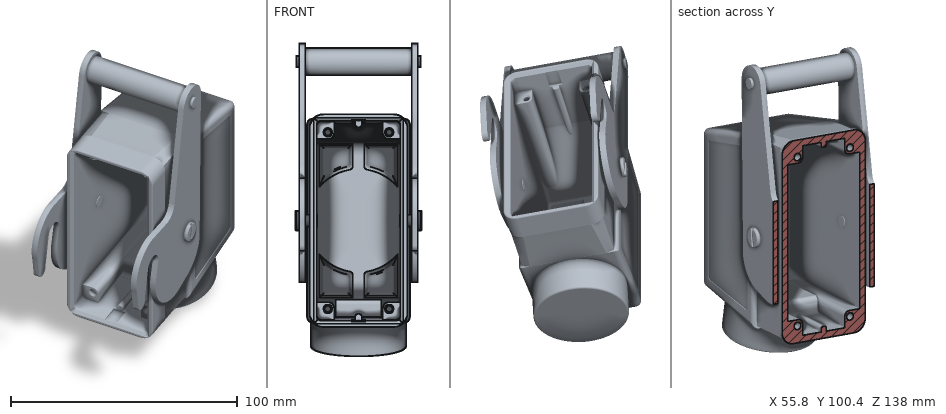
import cadquery as cq
import math


front_y = -24.7
flange_back_y = -12.8
bend_y = 7.7
back_y = 51.2
flange_half_width = 21.5
flange_half_height = 46.9
neck_half_width = 20.8
neck_half_height = 46.8
neck_side_half_height = 43.7
neck_roof_front_half_width = 15.5
neck_roof_back_half_width = 17.4
bend_half_height = 44.8
back_half_height = 36.2
rear_half_width = 22.8
rear_front_y = 7.3
flange_corner = 6.1
rear_edge_radius = 2.5
rim_edge_radius = 0.7

panel_front_y = 12.4
panel_back_y = 45.8
panel_front_half_height = 38.0
panel_back_half_height = 32.0
panel_depth = 0.4
panel_corner = 1.4

collar_radius = 21.1
collar_tilt = 11.7
collar_end_y = 31.5
collar_end_z = -55.8
collar_length = 20.7
collar_edge_radius = 0.8

cavity_half_width = 18.5
cavity_half_height = 44.2
cavity_bend_half_height = 42.4
cavity_back_half_height = 34.2
cavity_back_y = 45.5
cavity_corner = 2.1
mouth_chamfer = 1.2
cavity_back_radius = 1.2

pocket_depth = 3.0
pocket_taper = 30
pocket_floor_radius = 0.8
pocket_inner_x = 2.5
pocket_outer_x = 17.2
pocket_outer_z = 34.0
pad_radius = 22.8
pad_neck_radius = 2.1

post_front_y = -15.2
post_inner_x = 10.8
post_inner_z = 36.0
post_corner = 2.5
screw_x = 13.5
screw_z = 38.9
screw_radius = 1.4
screw_mouth_radius = 2.0
screw_depth = 11.0
rib_half_width = 1.5
rib_top_radius = 1.4
rib_inner_z = 41.1
mark_half_width = 2.9
mark_depth = 0.4
step_front_y = 6.9
step_top_z = -34.8
step_half_width = 10.0
step_edge_radius = 2.2
step_foot_radius = 2.1

arm_inner_x = 23.5
arm_outer_x = 26.2
handle_y = 3.7
handle_z = 70.1
handle_radius = 6.1
arm_end_radius = 8.0
rivet_radius = 2.5
rivet_end_x = 27.5
pivot_radius = 2.6
pivot_inner_x = 18.2
head_radius = 4.4
head_end_x = 27.9
head_chamfer = 0.4
slot_width = 1.7
slot_depth = 0.8
slot_angle = -5

pick_margin = 1.4


def side_plate(points, half_width):
    """Solid with the given (Y, Z) outline, from -half_width to +half_width in X."""
    return cq.Workplane("YZ").polyline(points).close().extrude(half_width, both=True)


def mirrored_outline(stations):
    """Closed (Y, Z) outline from (Y, half height) stations, symmetric about Z = 0."""
    upper = list(stations)
    lower = [(y, -z) for y, z in reversed(upper)]
    return upper + lower


def y_block(half_width, half_height, start_y, end_y):
    length = end_y - start_y
    return cq.Workplane("XY").box(2 * half_width, length, 2 * half_height).translate(
        (0, (start_y + end_y) / 2, 0)
    )


def both_sides(solid):
    return solid.union(solid.mirror("YZ"))


def make_flange():
    flange = y_block(flange_half_width, flange_half_height, front_y, flange_back_y)
    flange = flange.edges("|Y").fillet(flange_corner)
    return flange.faces("<Y").edges().fillet(rim_edge_radius)


def neck_section(roof_half_width, roof_half_height):
    """Closed (X, Z) octagon: a rectangle with a sloped facet at each corner."""
    upper = [
        (neck_half_width, neck_side_half_height),
        (roof_half_width, roof_half_height),
        (-roof_half_width, roof_half_height),
        (-neck_half_width, neck_side_half_height),
    ]
    return upper + [(-x, -z) for x, z in upper]


def make_neck():
    return (
        cq.Workplane("XZ", origin=(0, flange_back_y, 0))
        .polyline(neck_section(neck_roof_front_half_width, neck_half_height)).close()
        .workplane(offset=flange_back_y - bend_y)
        .polyline(neck_section(neck_roof_back_half_width, bend_half_height)).close()
        .loft(ruled=True)
    )


def make_rear():
    slope = (bend_half_height - back_half_height) / (back_y - bend_y)
    front_half_height = bend_half_height + slope * (bend_y - rear_front_y)
    stations = [(rear_front_y, front_half_height), (back_y, back_half_height)]
    rear = side_plate(mirrored_outline(stations), rear_half_width)
    rounded_edges = cq.selectors.BoxSelector(
        (-2 * rear_half_width, front_y, pick_margin - bend_half_height),
        (2 * rear_half_width, back_y + pick_margin, bend_half_height - pick_margin),
    )
    return rear.edges(rounded_edges).fillet(rear_edge_radius)


def make_panel():
    stations = [
        (panel_front_y, panel_front_half_height),
        (panel_back_y, panel_back_half_height),
    ]
    panel = (
        cq.Workplane("YZ", origin=(rear_half_width - panel_depth, 0, 0))
        .polyline(mirrored_outline(stations)).close()
        .extrude(2 * panel_depth)
        .edges("|X").fillet(panel_corner)
    )
    return both_sides(panel)


def make_collar():
    tilt = math.radians(collar_tilt)
    axis = cq.Vector(0, -math.sin(tilt), math.cos(tilt))
    end_plane = cq.Plane((0, collar_end_y, collar_end_z), (1, 0, 0), axis.toTuple())
    collar = cq.Workplane(end_plane).circle(collar_radius).extrude(collar_length)
    return collar.faces("<Z").edges().fillet(collar_edge_radius)


def make_pockets():
    """Pockets in the back wall, sunk toward +Y."""
    inner_z = math.sqrt(pad_radius**2 - pocket_inner_x**2)
    outer_z = math.sqrt(pad_radius**2 - pocket_outer_x**2)
    middle_x = (pocket_inner_x + pocket_outer_x) / 2
    middle_z = math.sqrt(pad_radius**2 - middle_x**2)
    back_wall = cq.Plane((0, cavity_back_y, 0), (-1, 0, 0), (0, 1, 0))
    pocket = (
        cq.Workplane(back_wall)
        .moveTo(pocket_inner_x, inner_z)
        .lineTo(pocket_inner_x, pocket_outer_z)
        .lineTo(pocket_outer_x, pocket_outer_z)
        .lineTo(pocket_outer_x, outer_z)
        .threePointArc((middle_x, middle_z), (pocket_inner_x, inner_z))
        .close()
        .extrude(pocket_depth, taper=pocket_taper)
    )
    neck_edge = cq.selectors.NearestToPointSelector(
        (-pocket_inner_x, cavity_back_y + pocket_depth / 2, inner_z)
    )
    pocket = pocket.edges(neck_edge).fillet(pad_neck_radius)
    pocket = pocket.faces(">Y").edges().fillet(pocket_floor_radius)
    pair = both_sides(pocket)
    return pair.union(pair.mirror("XY"))


def make_post():
    """Post in the +X, +Z corner of the cavity, with its screw hole."""
    width = rear_half_width - post_inner_x
    height = flange_half_height - post_inner_z
    length = back_y - post_front_y
    post = cq.Workplane("XY").box(width, length, height, centered=False)
    post = post.translate((post_inner_x, post_front_y, post_inner_z))
    post = post.edges("|Y and <X and <Z").fillet(post_corner)
    hole_plane = cq.Plane((screw_x, post_front_y, screw_z), (-1, 0, 0), (0, 1, 0))
    hole = cq.Workplane(hole_plane).circle(screw_radius).extrude(screw_depth)
    mouth_depth = screw_mouth_radius - screw_radius
    mouth = cq.Workplane(hole_plane).circle(screw_mouth_radius).extrude(mouth_depth, taper=45)
    return post.cut(hole).cut(mouth)


def make_rib():
    """Round-topped rib under the roof, on the centre plane."""
    length = back_y - post_front_y
    height = flange_half_height - rib_inner_z
    rib = cq.Workplane("XY").box(2 * rib_half_width, length, height, centered=(True, False, False))
    rib = rib.translate((0, post_front_y, rib_inner_z))
    return rib.edges("|Y and <Z").fillet(rib_top_radius)


def make_step():
    """Thicker floor over the cable collar."""
    foot_y = step_front_y - step_foot_radius
    floor_z = -cavity_bend_half_height
    sag = step_foot_radius * math.sqrt(0.5)
    step = (
        cq.Workplane("YZ")
        .moveTo(back_y, step_top_z)
        .lineTo(step_front_y, step_top_z)
        .lineTo(step_front_y, floor_z + step_foot_radius)
        .threePointArc((foot_y + sag, floor_z + step_foot_radius - sag), (foot_y, floor_z))
        .lineTo(foot_y, -flange_half_height)
        .lineTo(back_y, -flange_half_height)
        .close()
        .extrude(step_half_width, both=True)
    )
    top_front_edge = cq.selectors.NearestToPointSelector((0, step_front_y, step_top_z))
    return step.edges(top_front_edge).fillet(step_edge_radius)


def make_cavity():
    stations = [
        (front_y, cavity_half_height),
        (bend_y, cavity_bend_half_height),
        (cavity_back_y, cavity_back_half_height),
    ]
    space = side_plate(mirrored_outline(stations), cavity_half_width)
    long_edges = cq.selectors.BoxSelector(
        (-2 * cavity_half_width, front_y + pick_margin, -2 * cavity_half_height),
        (2 * cavity_half_width, cavity_back_y - pick_margin, 2 * cavity_half_height),
    )
    space = space.edges(long_edges).edges("not |X").fillet(cavity_corner)
    space = space.faces(">Y").edges("|Z").fillet(cavity_back_radius)

    post = make_post()
    posts = both_sides(post)
    posts = posts.union(posts.mirror("XY"))
    rib = make_rib()
    space = space.cut(posts).cut(rib).cut(rib.mirror("XY")).cut(make_step())

    marks = y_block(
        mark_half_width, cavity_half_height + mark_depth, front_y + mouth_chamfer, post_front_y
    )
    mouth = (
        cq.Workplane("XZ", origin=(0, front_y, 0))
        .rect(2 * (cavity_half_width + mouth_chamfer), 2 * (cavity_half_height + mouth_chamfer))
        .extrude(-2 * mouth_chamfer, taper=45)
    )
    return space.union(marks).union(mouth).union(make_pockets())


def make_arm():
    """Lever plate on the +X side: a handle arm, a round cam and a locking hook."""
    return (
        cq.Workplane("YZ", origin=(arm_inner_x, 0, 0))
        .moveTo(10.5, -11.0)
        .lineTo(handle_y + arm_end_radius, handle_z)
        .threePointArc((handle_y, handle_z + arm_end_radius), (-4.3, 71.3))
        .lineTo(-13.0, 23.7)
        .threePointArc((-15.0, 20.3), (-19.7, 18.4))
        .lineTo(-33.8, 18.8)
        .threePointArc((-42.9, 14.8), (-47.7, -2.0))
        .lineTo(-46.5, -10.5)
        .threePointArc((-43.5, -13.4), (-40.6, -9.8))
        .lineTo(-37.7, 4.3)
        .threePointArc((-32.8, 8.5), (-28.2, 2.2))
        .lineTo(-30.0, -5.5)
        .threePointArc((-25.5, -22.1), (-7.5, -26.2))
        .lineTo(-0.7, -23.9)
        .threePointArc((6.8, -18.9), (10.5, -11.0))
        .close()
        .extrude(arm_outer_x - arm_inner_x)
    )


def x_pin(radius, start_x, end_x, y=0, z=0):
    return cq.Workplane("YZ", origin=(start_x, y, z)).circle(radius).extrude(end_x - start_x)


def make_pivot():
    shaft = x_pin(pivot_radius, pivot_inner_x, arm_outer_x)
    head = x_pin(head_radius, arm_outer_x, head_end_x).faces(">X").edges().chamfer(head_chamfer)
    slot = (
        cq.Workplane("YZ", origin=(head_end_x - slot_depth, 0, 0))
        .rect(slot_width, 3 * head_radius)
        .extrude(2 * slot_depth)
        .rotate((0, 0, 0), (1, 0, 0), slot_angle)
    )
    return shaft.union(head.cut(slot))


def make_lever():
    half = make_arm().union(make_pivot())
    half = half.union(x_pin(rivet_radius, arm_inner_x, rivet_end_x, handle_y, handle_z))
    half = half.union(x_pin(handle_radius, 0, arm_inner_x, handle_y, handle_z))
    return both_sides(half)


hood = make_flange().union(make_neck()).union(make_rear()).union(make_collar())
hood = hood.cut(make_panel()).cut(make_cavity())
result = hood.union(make_lever())